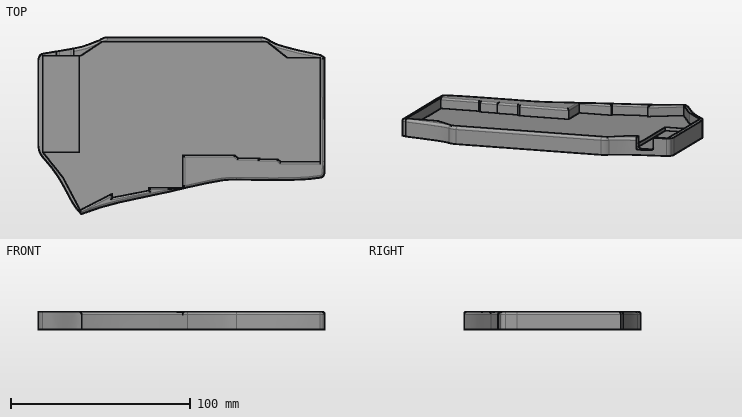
import cadquery as cq
import math


length = 159.74
depth = 98.53
height = 10.0

floor_level = 4.0
recess_floor_level = 2.0
notch_floor_level = 3.0

rim_radius = 1.5
lip_radius = 1.0
notch_floor_radius = 1.5

right_lean = 0.15
tip = (24.2, 0.0)
front_join = (83.2, 14.8)
front_bend = (110.4, 19.1)
front_right = (157.0, 20.2)
right_low = (length - right_lean, 23.0)
right_bend = (length, 29.4)
right_high = (length - right_lean, 87.2)
right_shoulder = (157.2, 88.7)
back_right_bend = (129.0, 96.6)
back_right = (124.0, depth)
back_left = (38.5, depth)
back_left_bend = (34.4, 97.0)
left_shoulder = (3.0, 89.5)
left_corner = (0.8, 88.1)
left_high = (0.0, 85.5)
left_low = (0.0, 38.7)
left_slope_start = (2.4, 31.9)

front_left_curve = [(33.5, 3.3), (48.0, 7.1), (65.0, 10.7), front_join]
front_middle_curve = [(94.0, 17.2), (103.0, 18.8), front_bend]
front_right_curve = [(124.0, 18.9), (137.0, 18.9), (147.5, 19.2), front_right]
back_right_curve = [(147.6, 90.7), (139.0, 92.8), (133.0, 94.6), back_right_bend]
back_left_curve = [(29.5, 95.0), (24.8, 93.4), (19.1, 92.2), (10.2, 90.7), left_shoulder]
left_slope_curve = [(5.4, 28.5), (9.9, 22.7), (14.3, 15.3), (22.0, 2.3), tip]

front_right_middle = (158.9, 21.2)
back_right_middle = (126.6, 98.0)
back_left_middle = (36.3, 98.1)
left_shoulder_middle = (1.7, 89.0)
left_corner_middle = (0.25, 86.9)

wall = 2.5
recess_left = wall
recess_right = recess_left + 20.3
recess_front = 34.6
recess_back = 88.1

notch_left = 10.2
notch_right = 19.8
notch_middle = (notch_left + notch_right) / 2

pocket_right = length - wall
pocket_back = depth - wall
ledge_left = 80.6
tooth_x = 41.4
step_x = 61.7
front_ledge_y = 14.8
front_path = [
    (23.4, 2.2),
    (tooth_x, 11.4),
    (tooth_x, 9.2),
    (step_x, 13.1),
    (step_x, front_ledge_y),
    (ledge_left, front_ledge_y),
]
ledge_high_y = 32.85
ledge_upper_middle_y = 31.2
ledge_lower_middle_y = 30.7
ledge_low_y = 29.15
ledge_step_x = 123.4
ledge_path = [
    (ledge_left, ledge_high_y),
    (109.5, ledge_high_y),
    (111.3, ledge_upper_middle_y),
    (ledge_step_x, ledge_upper_middle_y),
    (ledge_step_x, ledge_lower_middle_y),
    (133.4, ledge_lower_middle_y),
    (135.0, ledge_low_y),
    (pocket_right, ledge_low_y),
]
lip_path = front_path + ledge_path
back_right_y = 87.2
back_path = [
    (pocket_right, back_right_y),
    (138.7, back_right_y),
    (127.5, pocket_back),
    (35.5, pocket_back),
    (23.6, recess_back),
]
left_path = [
    (recess_left, recess_back),
    (recess_left, recess_front),
    (13.8, 20.4),
]

clearance = 5.0
match_tolerance = 0.01


def block(x_min, x_max, y_min, y_max, z_min, z_max):
    size = (x_max - x_min, y_max - y_min, z_max - z_min)
    return cq.Workplane("XY").box(*size, centered=False).translate((x_min, y_min, z_min))


def outline():
    return (
        cq.Workplane("XY")
        .moveTo(*tip)
        .spline(front_left_curve, includeCurrent=True)
        .spline(front_middle_curve, includeCurrent=True)
        .spline(front_right_curve, includeCurrent=True)
        .threePointArc(front_right_middle, right_low)
        .lineTo(*right_bend)
        .lineTo(*right_high)
        .lineTo(*right_shoulder)
        .spline(back_right_curve, includeCurrent=True)
        .threePointArc(back_right_middle, back_right)
        .lineTo(*back_left)
        .threePointArc(back_left_middle, back_left_bend)
        .spline(back_left_curve, includeCurrent=True)
        .threePointArc(left_shoulder_middle, left_corner)
        .threePointArc(left_corner_middle, left_high)
        .lineTo(*left_low)
        .tangentArcPoint(left_slope_start, relative=False)
        .spline(left_slope_curve, includeCurrent=True)
        .close()
    )


def body():
    """Solid outline, its rim rounded from the front tip round the right side to the notch."""
    plain = outline().extrude(height)
    left_zone = block(-clearance, notch_middle, -clearance, depth + clearance, 0, height)
    right_part = plain.cut(left_zone)

    def on_rounded_rim(edge):
        center = edge.Center()
        return center.x > tip[0] or center.y > left_high[1]

    rim = [edge for edge in right_part.faces(">Z").edges().vals() if on_rounded_rim(edge)]
    rounded_part = right_part.newObject(rim).fillet(rim_radius)
    return plain.intersect(left_zone).union(rounded_part)


def pocket():
    corners = lip_path + back_path + left_path
    floor = cq.Workplane("XY").workplane(offset=floor_level)
    return floor.polyline(corners).close().extrude(height - floor_level)


def pocket_surround():
    """Oversized block around the pocket, with the lip of its front steps and ledge rounded."""
    block_right = length + clearance
    block_back = depth + clearance
    surround = block(-clearance, block_right, -clearance, block_back, 0, height).cut(pocket())
    lip_middles = [
        ((x0 + x1) / 2, (y0 + y1) / 2) for (x0, y0), (x1, y1) in zip(lip_path, lip_path[1:])
    ]

    def on_lip(edge):
        center = (edge.Center().x, edge.Center().y)
        return any(math.dist(center, middle) < match_tolerance for middle in lip_middles)

    lip = [edge for edge in surround.faces(">Z").edges().vals() if on_lip(edge)]
    return surround.newObject(lip).fillet(lip_radius)


def recess():
    return block(recess_left, recess_right, recess_front, recess_back, recess_floor_level, height)


def notch():
    """Slot open to the back and down into the recess, with rounded floor edges."""
    slot = block(notch_left, notch_right, recess_back - clearance, depth, notch_floor_level, height)
    return slot.edges("|Y and <Z").fillet(notch_floor_radius)


tray = body().intersect(pocket_surround())
result = tray.cut(recess()).cut(notch())